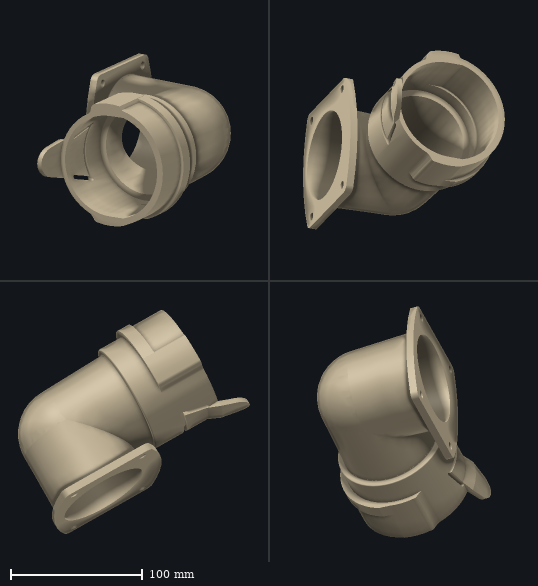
import cadquery as cq
import math

OVERALL_Y = 174.74

ELBOW_R = 36.5
ELBOW_BORE_R = 33.0
PIPE_END_R = 38.5
PIPE_BORE_END_R = 34.6

FLANGE_FACE_X = -56.2
FLANGE_T = 5.8
FLANGE_W = 93.8
FLANGE_H = 96.28
FLANGE_CENTRE_Y = -4.4
FLANGE_SIDE_R = 125.0
FLANGE_CORNER_R = 6.0
BOLT_D = 6.3
BOLT_PITCH_Y = 60.4
BOLT_PITCH_Z = 80.8

SOCKET_R = 86.5 / 2
SOCKET_BORE_R = 79.2 / 2
SOCKET_BACK_Y = -53.6
SOCKET_SEAT_Y = -57.0
MOUTH_Y = -110.3
SOCKET_EDGE_R = 1.0
NECK_FILLET_R = 1.0

COLLAR_START_Y = -73.1
RIM_END_Y = -83.1
SHELL_R = 46.4
RIM_R = 48.8
TOP_LUG_R = 49.0
BOTTOM_LUG_R = 47.0
TOP_LUG_FOOT_X = -19.9
TOP_LUG_CREST_X = -13.3
TOP_LUG_END_X = 8.3
SHELL_START_X = 10.0
BOTTOM_LUG_FOOT_X = -17.7
BOTTOM_LUG_CREST_X = -10.5
BOTTOM_LUG_END_X = 11.0
RIM_BOTTOM_X = 17.4
RELIEF_R = 41.3
RELIEF_START_Y = -69.1

SLOT_W = 3.2
SLOT_BACK_Y = -80.5
SLOT_BACK_HALF_Z = 21.3
SLOT_TIP_Y = -101.0
SLOT_TIP_HALF_Z = 15.8
LEVER_START_Y = -100.4
LEVER_TIP_Y = FLANGE_CENTRE_Y + FLANGE_W / 2 - OVERALL_Y
LEVER_BEND_R = 47.5
LEVER_TIP_R = 51.3
LEVER_TIP_T = 3.7
LEVER_ROOT_R = 41.0
LEVER_START_HALF_Z = 14.3
LEVER_BEND_HALF_Z = 15.0
LEVER_NOSE_Y = -123.5
LEVER_NOSE_HALF_Z = 11.7


def on_circle(radius, x, side):
    """Point at x on an origin-centred circle, on the +Z (1) or -Z (-1) side."""
    return (x, side * math.sqrt(radius ** 2 - x ** 2))


def extrude_y(sketch, start_y, end_y):
    """Extrude an XZ-plane sketch, drawn by a function, from start_y toward -Y to end_y."""
    return sketch(cq.Workplane("XZ", origin=(0, start_y, 0))).extrude(start_y - end_y)


def cylinder_y(radius, start_y, end_y):
    return extrude_y(lambda plane: plane.circle(radius), start_y, end_y)


def tapered_elbow(centre_r, end_r, end_x, end_y):
    """Two conical arms that open outward from a ball at the origin."""
    x_arm = (
        cq.Workplane("XY")
        .polyline([(0, 0), (0, centre_r), (end_x, end_r), (end_x, 0)])
        .close()
        .revolve(360, (0, 0, 0), (1, 0, 0))
    )
    y_arm = (
        cq.Workplane("XY")
        .polyline([(0, 0), (centre_r, 0), (end_r, end_y), (0, end_y)])
        .close()
        .revolve(360, (0, 0, 0), (0, 1, 0))
    )
    ball = cq.Workplane("XY").sphere(centre_r)
    return x_arm.union(y_arm).union(ball)


def make_flange():
    half_w = FLANGE_W / 2
    half_h = FLANGE_H / 2
    corner_y = half_w - (FLANGE_SIDE_R - math.sqrt(FLANGE_SIDE_R ** 2 - half_h ** 2))
    plate_plane = cq.Workplane("YZ", origin=(FLANGE_FACE_X, FLANGE_CENTRE_Y, 0))
    plate = (
        plate_plane.moveTo(-corner_y, half_h)
        .lineTo(corner_y, half_h)
        .threePointArc((half_w, 0), (corner_y, -half_h))
        .lineTo(-corner_y, -half_h)
        .threePointArc((-half_w, 0), (-corner_y, half_h))
        .close()
        .extrude(FLANGE_T)
        .edges("|X")
        .fillet(FLANGE_CORNER_R)
    )
    bolts = plate_plane.rect(BOLT_PITCH_Y, BOLT_PITCH_Z, forConstruction=True).vertices()
    return plate.cut(bolts.circle(BOLT_D / 2).extrude(FLANGE_T))


def make_socket_body():
    """Plain cylinder with a rounded back edge."""
    return cylinder_y(SOCKET_R, SOCKET_BACK_Y, MOUTH_Y).faces(">Y").edges().fillet(SOCKET_EDGE_R)


def make_neck():
    """Disc whose rim is the hollow fillet at a pipe's end; its wide face is at Z = 0."""
    inset = NECK_FILLET_R * (1 - math.sqrt(0.5))
    return (
        cq.Workplane("XZ")
        .lineTo(PIPE_END_R + NECK_FILLET_R, 0)
        .threePointArc((PIPE_END_R + inset, inset), (PIPE_END_R, NECK_FILLET_R))
        .lineTo(0, NECK_FILLET_R)
        .close()
        .revolve(360, (0, 0, 0), (0, 1, 0))
    )


def collar_outline(plane):
    """Outline of the lugs and the thick +X shell, starting on the socket at the top.

    Each lug's -X flank is a short wall with a hollow foot and a rounded head.
    """
    top_hollow = (-17.9, 40.1)
    top_wall_foot = (-17.0, 42.2)
    top_wall_head = (-16.7, 43.2)
    top_round = (-15.6, 46.0)
    bottom_hollow = (-16.7, -40.3)
    bottom_wall_foot = (-15.7, -41.4)
    bottom_wall_head = (-14.2, -43.5)
    bottom_round = (-12.8, -45.2)
    return (
        plane.moveTo(*on_circle(SOCKET_R, TOP_LUG_FOOT_X, 1))
        .threePointArc(top_hollow, top_wall_foot)
        .lineTo(*top_wall_head)
        .threePointArc(top_round, on_circle(TOP_LUG_R, TOP_LUG_CREST_X, 1))
        .threePointArc((0, TOP_LUG_R), on_circle(TOP_LUG_R, TOP_LUG_END_X, 1))
        .lineTo(*on_circle(SHELL_R, SHELL_START_X, 1))
        .threePointArc((SHELL_R, 0), on_circle(SHELL_R, RIM_BOTTOM_X, -1))
        .lineTo(*on_circle(BOTTOM_LUG_R, BOTTOM_LUG_END_X, -1))
        .threePointArc((0, -BOTTOM_LUG_R), on_circle(BOTTOM_LUG_R, BOTTOM_LUG_CREST_X, -1))
        .threePointArc(bottom_round, bottom_wall_head)
        .lineTo(*bottom_wall_foot)
        .threePointArc(bottom_hollow, on_circle(SOCKET_R, BOTTOM_LUG_FOOT_X, -1))
        .close()
    )


def rim_outline(plane):
    """Crescent-shaped retaining rim around the +X side."""
    return (
        plane.moveTo(TOP_LUG_END_X, 0)
        .lineTo(*on_circle(RIM_R, TOP_LUG_END_X, 1))
        .threePointArc((RIM_R, 0), on_circle(RIM_R, RIM_BOTTOM_X, -1))
        .lineTo(*on_circle(BOTTOM_LUG_R, TOP_LUG_END_X, -1))
        .close()
    )


def relief_outline(plane):
    """Wider half bore on the +X side, flattened level with the main bore."""
    flat_x = math.sqrt(RELIEF_R ** 2 - SOCKET_BORE_R ** 2)
    return (
        plane.moveTo(0, SOCKET_BORE_R)
        .lineTo(flat_x, SOCKET_BORE_R)
        .threePointArc((RELIEF_R, 0), (flat_x, -SOCKET_BORE_R))
        .lineTo(0, -SOCKET_BORE_R)
        .close()
    )


def make_tongue_slot():
    """Slot round three sides of the tongue, cut straight through the -X wall."""
    depth = SOCKET_R

    def slot_leg(start, end):
        length = math.hypot(end[0] - start[0], end[1] - start[1])
        angle = math.degrees(math.atan2(end[1] - start[1], end[0] - start[0]))
        middle = ((start[0] + end[0]) / 2, (start[1] + end[1]) / 2)
        return (
            cq.Workplane("YZ")
            .center(*middle)
            .slot2D(length + SLOT_W, SLOT_W, angle)
            .extrude(-depth)
        )

    top_back = (SLOT_BACK_Y, SLOT_BACK_HALF_Z)
    bottom_back = (SLOT_BACK_Y, -SLOT_BACK_HALF_Z)
    slot = slot_leg(bottom_back, top_back)
    for side, back in ((1, top_back), (-1, bottom_back)):
        slot = slot.union(slot_leg(back, (SLOT_TIP_Y, side * SLOT_TIP_HALF_Z)))
    return slot


def make_lever():
    """Flared shell of revolution trimmed to the lever's outline."""
    flare = (
        cq.Workplane("XY")
        .polyline([
            (-LEVER_ROOT_R, LEVER_START_Y),
            (-SOCKET_R, LEVER_START_Y),
            (-LEVER_BEND_R, MOUTH_Y),
            (-LEVER_TIP_R, LEVER_TIP_Y),
            (-LEVER_TIP_R + LEVER_TIP_T, LEVER_TIP_Y),
            (-SOCKET_R, MOUTH_Y),
            (-LEVER_ROOT_R, MOUTH_Y),
        ])
        .close()
        .revolve(360, (0, 0, 0), (0, 1, 0))
    )
    outline = (
        cq.Workplane("YZ")
        .moveTo(LEVER_START_Y, LEVER_START_HALF_Z)
        .lineTo(MOUTH_Y, LEVER_BEND_HALF_Z)
        .lineTo(LEVER_NOSE_Y, LEVER_NOSE_HALF_Z)
        .threePointArc((LEVER_TIP_Y, 0), (LEVER_NOSE_Y, -LEVER_NOSE_HALF_Z))
        .lineTo(MOUTH_Y, -LEVER_BEND_HALF_Z)
        .lineTo(LEVER_START_Y, -LEVER_START_HALF_Z)
        .close()
        .extrude(-LEVER_TIP_R)
    )
    return flare.intersect(outline)


flange_back_x = FLANGE_FACE_X + FLANGE_T
flange_neck = make_neck().rotate((0, 0, 0), (0, 1, 0), 90).translate((flange_back_x, 0, 0))
socket_neck = make_neck().rotate((0, 0, 0), (1, 0, 0), -90).translate((0, SOCKET_BACK_Y, 0))
outside = (
    tapered_elbow(ELBOW_R, PIPE_END_R, flange_back_x, SOCKET_BACK_Y)
    .union(make_flange())
    .union(make_socket_body())
    .union(flange_neck)
    .union(socket_neck)
    .union(extrude_y(collar_outline, COLLAR_START_Y, MOUTH_Y))
    .union(extrude_y(rim_outline, COLLAR_START_Y, RIM_END_Y))
)
hollow = (
    outside.cut(tapered_elbow(ELBOW_BORE_R, PIPE_BORE_END_R, FLANGE_FACE_X, SOCKET_SEAT_Y))
    .cut(cylinder_y(SOCKET_BORE_R, SOCKET_SEAT_Y, MOUTH_Y))
    .cut(extrude_y(relief_outline, RELIEF_START_Y, MOUTH_Y))
)
result = hollow.cut(make_tongue_slot()).union(make_lever())